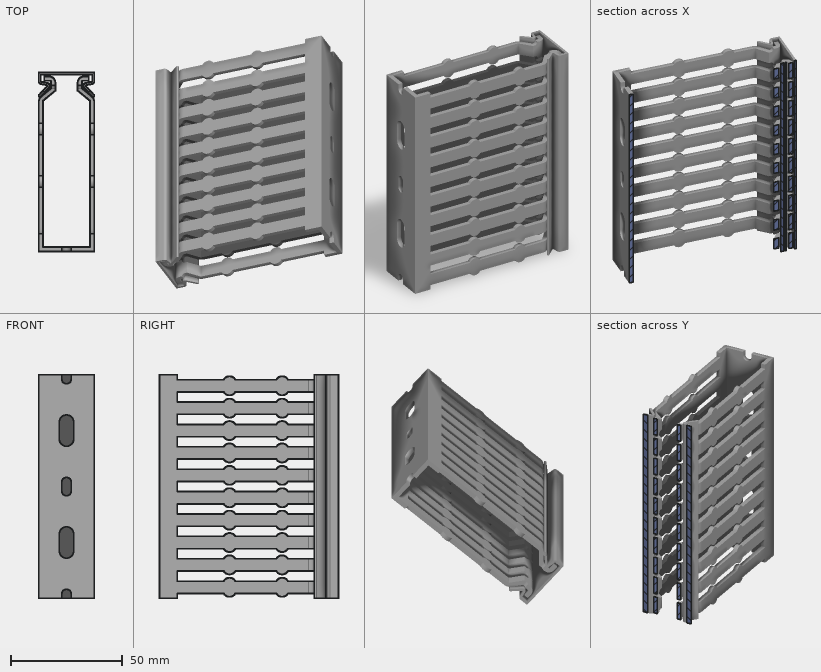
import cadquery as cq
import math

width = 25.0
depth = 80.0
height = 100.0
half_width = width / 2

duct_wall = 2.1
shoulder_y = 68.4
shoulder_radius = 4.0
neck_y = 72.9
neck_half_width = 7.0
hook_under_y = 76.2
hook_tip_half_width = 10.0
hook_radius = 3.0

pitch = 10.0
slot_half_width = 2.2
bulge_gap_half_width = 0.7
slit_half_width = 0.8
slot_start_y = 8.0
bulge_positions = (31.3, 54.8)
bulge_half_length = 2.6
head_start_y = neck_y

small_hole_length = 8.2
small_hole_width = 4.2
large_hole_length = 14.0
large_hole_width = 6.4
hole_spacing = height / 2
large_hole_offset = height / 4

cover_wall = 1.1
fold_y = 75.0
fold_radius = 1.4
pinch_half_width = 8.4
pinch_y = 74.2
pinch_radius = 1.2
lip_end_y = 69.6


def offset_path(points, distance):
    """Return the open path moved sideways to its right by distance, with mitred corners."""
    normals = []
    for (x0, y0), (x1, y1) in zip(points, points[1:]):
        length = math.hypot(x1 - x0, y1 - y0)
        normals.append(((y1 - y0) / length, (x0 - x1) / length))
    before = [normals[0]] + normals
    after = normals + [normals[-1]]
    moved = []
    for (x, y), (ax, ay), (bx, by) in zip(points, before, after):
        mitre = distance / (1 + ax * bx + ay * by)
        moved.append((x + mitre * (ax + bx), y + mitre * (ay + by)))
    return moved


def half_strip(outer, inner):
    """Extrude the left half of a bent sheet from its outer and inner surface paths."""
    outline = outer + inner[::-1]
    return cq.Workplane("XY").polyline(outline).close().extrude(height / 2, both=True)


def round_corner(body, corner, radius):
    """Round the full-height edge that stands at one corner of the section."""
    edge = cq.selectors.NearestToPointSelector((*corner, 0))
    return body.edges("|Z").edges(edge).fillet(radius)


def mirrored(half):
    """Complete a left half with its mirror image in X."""
    return half.union(half.mirror("YZ"))


def make_slot():
    """Cutter for the gap between two fingers, centred on Z = 0, running along Y."""
    head_radius = slot_half_width - slit_half_width
    arc_middle = head_radius * math.sqrt(0.5)
    beyond = 2 * depth

    side = cq.Workplane("YZ").moveTo(slot_start_y, 0).lineTo(slot_start_y, slot_half_width)
    for y in bulge_positions:
        side = side.lineTo(y - bulge_half_length, slot_half_width)
        side = side.threePointArc((y, bulge_gap_half_width), (y + bulge_half_length, slot_half_width))
    side = side.lineTo(head_start_y, slot_half_width)
    side = side.threePointArc(
        (head_start_y + arc_middle, slit_half_width + arc_middle),
        (head_start_y + head_radius, slit_half_width),
    )
    side = side.lineTo(beyond, slit_half_width).lineTo(beyond, 0).close()
    upper = side.extrude(width, both=True)
    return upper.union(upper.mirror("XY"))


def make_base_hole(length, hole_width, z):
    """Cutter for a round-ended hole through the base, long along Z."""
    along_z = 90
    hole = cq.Workplane("XZ").center(0, z).slot2D(length, hole_width, along_z)
    return hole.extrude(duct_wall, both=True)


def make_duct():
    """Open duct with slotted walls that end in outward hooks on a narrowed neck."""
    outer = [
        (0, 0),
        (-half_width, 0),
        (-half_width, shoulder_y),
        (-neck_half_width, neck_y),
        (-neck_half_width, hook_under_y),
        (-hook_tip_half_width, hook_under_y),
    ]
    inner = offset_path(outer, duct_wall)
    half = half_strip(outer, inner)
    half = round_corner(half, outer[2], shoulder_radius)
    half = round_corner(half, inner[4], hook_radius)
    duct = mirrored(half)

    slot = make_slot()
    finger_count = round(height / pitch)
    for i in range(finger_count + 1):
        duct = duct.cut(slot.translate((0, 0, i * pitch - height / 2)))

    for z in (-hole_spacing, 0, hole_spacing):
        duct = duct.cut(make_base_hole(small_hole_length, small_hole_width, z))
    for z in (-large_hole_offset, large_hole_offset):
        duct = duct.cut(make_base_hole(large_hole_length, large_hole_width, z))
    return duct


def make_cover():
    """Flat cover whose folded sides clip around the duct hooks."""
    tip_radius = cover_wall / 2
    lip_x = tip_radius - half_width
    run = -pinch_half_width - lip_x
    rise = pinch_y - lip_end_y
    lip_angle = math.atan2(rise, run) - math.asin(tip_radius / math.hypot(run, rise))
    lip_end = (lip_x - tip_radius * math.sin(lip_angle), lip_end_y + tip_radius * math.cos(lip_angle))
    outer = [
        (0, depth),
        (-half_width, depth),
        (-half_width, fold_y),
        (-pinch_half_width, pinch_y),
        lip_end,
    ]
    inner = offset_path(outer, -cover_wall)
    half = half_strip(outer, inner)
    half = round_corner(half, outer[2], fold_radius)
    half = round_corner(half, inner[3], pinch_radius)
    tip = cq.Workplane("XY").center(lip_x, lip_end_y).circle(tip_radius).extrude(height / 2, both=True)
    half = half.union(tip)
    return mirrored(half)


duct = make_duct()
cover = make_cover()

result = cq.Compound.makeCompound([*duct.solids().vals(), *cover.solids().vals()])